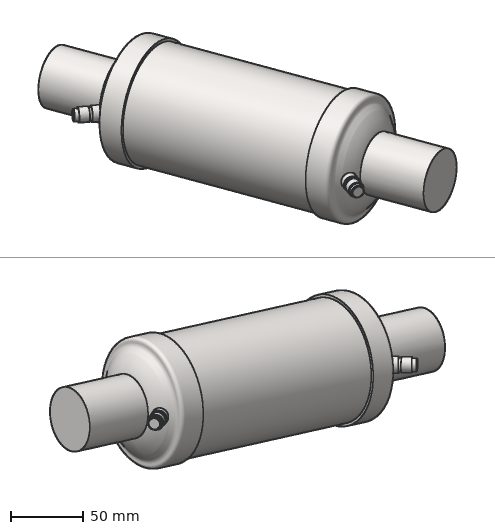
import cadquery as cq
import math

overall_length = 308.0
pipe_radius = 22.8
shell_radius = 44.5
band_radius = 46.5
band_start = 73.5
band_end = 92.5
band_fillet = 2.8
rim_radius = 42.2
cone_base_radius = 39.7
cone_start = 93.3
cone_tip_radius = 36.0
cone_end = 96.7
dome_end = 103.5

fitting_angle = 40.0
tip_center_x = 114.0
tip_center_y = -43.7
tip_radius = 4.5
tip_chamfer = 0.5
tip_length = 3.7
nut_radius = 5.5
nut_length = 7.5
neck_radius = 5.0
neck_length = 2.0
collar_radius = 6.0
collar_length = 7.7


def make_end():
    """The +X end of the housing, revolved about X: band, dome and pipe."""
    profile = (
        cq.Workplane("XY")
        .moveTo(band_start, 0)
        .lineTo(band_start, band_radius)
        .lineTo(band_end - band_fillet, band_radius)
        .tangentArcPoint((band_end, band_radius - band_fillet), relative=False)
        .lineTo(band_end, rim_radius)
        .tangentArcPoint((cone_start, cone_base_radius), relative=False)
        .lineTo(cone_end, cone_tip_radius)
        .tangentArcPoint((dome_end, pipe_radius), relative=False)
        .lineTo(overall_length / 2, pipe_radius)
        .lineTo(overall_length / 2, 0)
        .close()
    )
    return profile.revolve(360, (0, 0, 0), (1, 0, 0))


def make_housing():
    """Plain shell tube closed by two mirrored ends."""
    shell = cq.Workplane("YZ").circle(shell_radius).extrude(band_start, both=True).clean()
    end = make_end()
    return shell.union(end).union(end.mirror("YZ"))


def make_fitting(side, housing):
    """Stepped round fitting seated on the dome; side is +1 or -1 along X."""
    angle = math.radians(fitting_angle)
    inward = cq.Vector(-side * math.cos(angle), math.sin(angle), 0)
    tip_center = cq.Vector(side * tip_center_x, tip_center_y, 0)
    plane = cq.Plane(origin=tip_center, xDir=(0, 0, 1), normal=inward)

    fitting = cq.Workplane(plane).circle(tip_radius).extrude(tip_length)
    fitting = fitting.edges(cq.NearestToPointSelector(tip_center.toTuple())).chamfer(tip_chamfer)
    start = tip_length
    for radius, length in (
        (nut_radius, nut_length),
        (neck_radius, neck_length),
        (collar_radius, collar_length),
    ):
        step = cq.Workplane(plane).workplane(offset=start).circle(radius).extrude(length)
        fitting = fitting.union(step)
        start += length
    return fitting.cut(housing)


housing = make_housing()
fittings = [make_fitting(side, housing) for side in (-1, 1)]

result = cq.Compound.makeCompound([housing.val(), *[fitting.val() for fitting in fittings]])